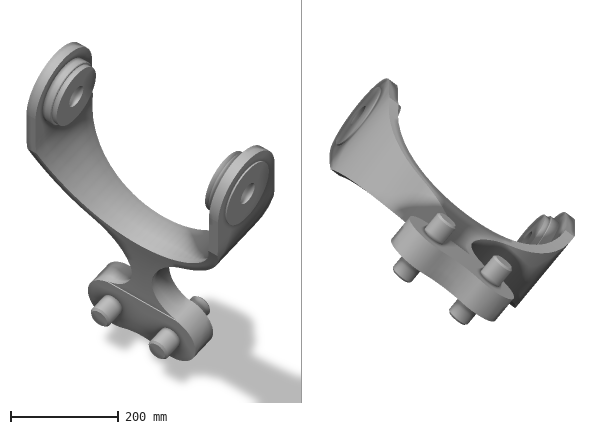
import cadquery as cq
import math


lug_width = 178.0
arch_inner_radius = 200.0
arch_thickness = 21.0
arch_outer_radius = arch_inner_radius + arch_thickness
arch_center_z = -70.0

boss_diameter = 133.5
boss_outer_height = 3.0
boss_inner_height = 18.0
boss_chamfer = 1.0
spigot_diameter = 124.0
spigot_height = 10.5
lug_hole_diameter = 44.5

part_height = 654.0
foot_thickness = 55.5
foot_lobe_radius = 57.5
foot_notch_depth = 13.0
pin_x = 67.0
pin_diameter = 44.5
pin_length = 140.5
pin_chamfer = 4.0
bottom_z = lug_width / 2 - part_height
pin_z = bottom_z + foot_lobe_radius

waist_half_width = 23.0
neck_lower_radius = 70.0
neck_upper_radius = 164.0

flank_radius = 948.5
neck_foot_thickness = 52.0
flank_top_z = -99.5


def toward(start, target, distance):
    """Point at the given distance from start in the direction of target."""
    length = math.dist(start, target)
    return tuple(s + (t - s) * distance / length for s, t in zip(start, target))


def circle_crossing(center_a, radius_a, center_b, radius_b):
    """Crossing of two circles that lies to the left when going from a to b."""
    span = math.dist(center_a, center_b)
    along = (span**2 + radius_a**2 - radius_b**2) / (2 * span)
    aside = math.sqrt(radius_a**2 - along**2)
    ux = (center_b[0] - center_a[0]) / span
    uz = (center_b[1] - center_a[1]) / span
    return (center_a[0] + along * ux - aside * uz, center_a[1] + along * uz + aside * ux)


def arc_middle(center, start, end):
    """Middle point of the minor arc around center from start to end."""
    chord_middle = ((start[0] + end[0]) / 2, (start[1] + end[1]) / 2)
    return toward(center, chord_middle, math.dist(center, start))


def mirrored(point):
    return (-point[0], point[1])


arch_center = (0, arch_center_z)
lobe_center = (pin_x, pin_z)
lower_x = waist_half_width + neck_lower_radius
lower_rise = math.sqrt((neck_lower_radius + foot_lobe_radius) ** 2 - (lower_x - pin_x) ** 2)
lower_center = (lower_x, pin_z + lower_rise)
upper_center = circle_crossing(
    arch_center,
    neck_upper_radius + arch_outer_radius,
    lower_center,
    neck_upper_radius - neck_lower_radius,
)
arch_neck_joint = toward(arch_center, upper_center, arch_outer_radius)
neck_joint = toward(upper_center, lower_center, neck_upper_radius)
neck_foot_joint = toward(lobe_center, lower_center, foot_lobe_radius)
foot_top_z = neck_foot_joint[1]

notch_top_z = bottom_z + foot_notch_depth
notch_drop = pin_z - notch_top_z
notch_radius = (pin_x**2 + notch_drop**2 - foot_lobe_radius**2) / (2 * (foot_lobe_radius - notch_drop))
notch_center = (0, notch_top_z - notch_radius)
notch_joint = toward(lobe_center, notch_center, foot_lobe_radius)


def make_arch_and_neck():
    top_z = lug_width / 2
    outer_spring = (arch_outer_radius, arch_center_z)
    right_arcs = [
        (arch_center, outer_spring, arch_neck_joint),
        (upper_center, arch_neck_joint, neck_joint),
        (lower_center, neck_joint, neck_foot_joint),
    ]
    outline = cq.Workplane("XZ").moveTo(arch_outer_radius, top_z).lineTo(*outer_spring)
    for center, start, end in right_arcs:
        outline = outline.threePointArc(arc_middle(center, start, end), end)
    outline = outline.lineTo(*mirrored(neck_foot_joint))
    for center, start, end in reversed(right_arcs):
        outline = outline.threePointArc(mirrored(arc_middle(center, start, end)), mirrored(start))
    outline = (
        outline.lineTo(-arch_outer_radius, top_z)
        .lineTo(-arch_inner_radius, top_z)
        .lineTo(-arch_inner_radius, arch_center_z)
        .threePointArc((0, arch_center_z - arch_inner_radius), (arch_inner_radius, arch_center_z))
        .lineTo(arch_inner_radius, top_z)
        .close()
    )
    return outline.extrude(lug_width / 2, both=True).intersect(make_side_profile())


def make_side_profile():
    """Rounded lug tops, straight sides, then flanks hollowed down to the foot."""
    half_lug = lug_width / 2
    half_neck = neck_foot_thickness / 2
    return (
        cq.Workplane("YZ")
        .moveTo(half_neck, foot_top_z)
        .radiusArc((half_lug, flank_top_z), flank_radius)
        .lineTo(half_lug, 0)
        .threePointArc((0, half_lug), (-half_lug, 0))
        .lineTo(-half_lug, flank_top_z)
        .radiusArc((-half_neck, foot_top_z), flank_radius)
        .close()
        .extrude(arch_outer_radius, both=True)
    )


def make_foot():
    lobe_side = (pin_x + foot_lobe_radius, pin_z)
    return (
        cq.Workplane("XZ")
        .moveTo(*neck_foot_joint)
        .threePointArc(lobe_side, notch_joint)
        .threePointArc((0, notch_top_z), mirrored(notch_joint))
        .threePointArc(mirrored(lobe_side), mirrored(neck_foot_joint))
        .close()
        .extrude(foot_thickness / 2, both=True)
    )


def make_pins():
    return (
        cq.Workplane("XZ")
        .pushPoints([(-pin_x, pin_z), (pin_x, pin_z)])
        .circle(pin_diameter / 2)
        .extrude(pin_length / 2, both=True)
        .faces("<Y or >Y")
        .chamfer(pin_chamfer)
    )


def make_lug_boss():
    """Boss through the right lug, with a smaller spigot on its inner end."""
    boss_inner_x = arch_inner_radius - boss_inner_height
    boss_length = boss_inner_height + arch_thickness + boss_outer_height
    inner_face = cq.Workplane("YZ", origin=(boss_inner_x, 0, 0))
    boss = inner_face.circle(boss_diameter / 2).extrude(boss_length).faces("<X").chamfer(boss_chamfer)
    spigot = inner_face.circle(spigot_diameter / 2).extrude(-spigot_height)
    return boss.union(spigot)


right_boss = make_lug_boss()
lug_holes = cq.Workplane("YZ").circle(lug_hole_diameter / 2).extrude(part_height, both=True)

result = (
    make_arch_and_neck()
    .union(make_foot())
    .union(make_pins())
    .union(right_boss)
    .union(right_boss.mirror("YZ"))
    .cut(lug_holes)
)